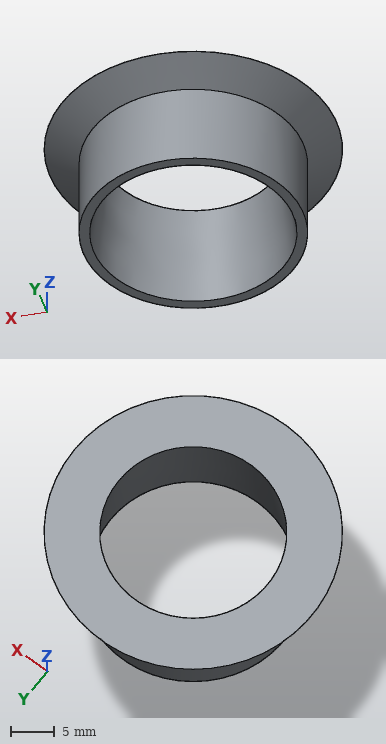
import cadquery as cq

flange_diameter = 34.05
sleeve_diameter = 26.07
top_bore_diameter = 21.3
bottom_bore_diameter = 23.62
height = 12.7
flange_height = 2.28

flange_radius = flange_diameter / 2
sleeve_radius = sleeve_diameter / 2
top_bore_radius = top_bore_diameter / 2
bottom_bore_radius = bottom_bore_diameter / 2
flange_base = height - flange_height

section = (
    cq.Workplane("XZ")
    .moveTo(bottom_bore_radius, 0)
    .lineTo(sleeve_radius, 0)
    .lineTo(sleeve_radius, flange_base)
    .lineTo(flange_radius, height)
    .lineTo(top_bore_radius, height)
    .close()
)

result = section.revolve(360, (0, 0), (0, 1))